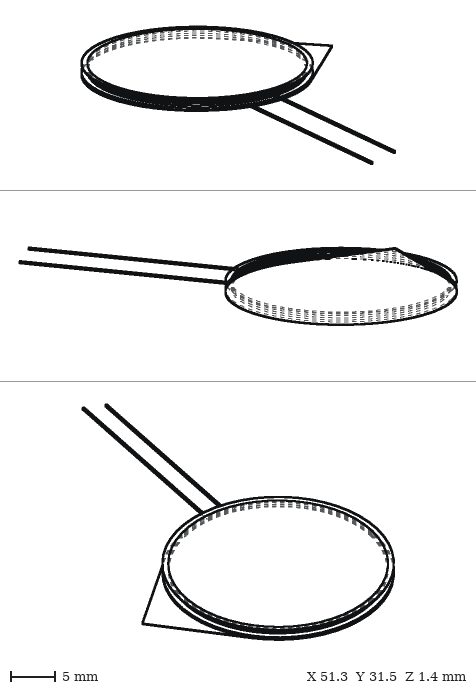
import cadquery as cq
import math

total_length = 51.3
total_width = 31.5
total_height = 1.4

base_diameter = 26.3
cover_diameter = 25.0
tape_thickness = 0.1
base_thickness = 0.25
film_thickness = 0.05

tab_tip_radius = 0.2

wire_diameter = 0.25
tip_diameter = 0.24
layer_count = 3
tip_length = 5.0
lead_offset = 1.55

base_radius = base_diameter / 2
winding_radius = cover_diameter / 2
wire_radius = wire_diameter / 2

tab_reach = total_width - base_radius
tab_half_angle = math.asin((base_radius - tab_tip_radius) / (tab_reach - tab_tip_radius))
tab_corner_reach = base_radius / math.sin(tab_half_angle)

lead_end = total_length - base_radius
tip_start = lead_end - tip_length

base_top = tape_thickness + base_thickness
winding_top = base_top + layer_count * wire_diameter
film_bottom = total_height - film_thickness
cover_thickness = film_bottom - winding_top

upper_lead_height = winding_top - wire_radius
lower_lead_height = base_top - wire_radius


def make_disc(diameter, bottom, thickness):
    return cq.Workplane("XY").workplane(offset=bottom).circle(diameter / 2).extrude(thickness)


def make_tape():
    """Round adhesive film with a pull tab whose straight sides are tangent to the disc."""
    tangent_x = base_radius * math.cos(tab_half_angle)
    tangent_y = base_radius * math.sin(tab_half_angle)
    tab = (
        cq.Workplane("XY")
        .moveTo(0, 0)
        .lineTo(tangent_x, tangent_y)
        .lineTo(0, tab_corner_reach)
        .lineTo(-tangent_x, tangent_y)
        .close()
        .extrude(tape_thickness)
        .edges("|Z and >Y")
        .fillet(tab_tip_radius)
    )
    return make_disc(base_diameter, 0, tape_thickness).union(tab).solids()


def make_winding():
    """Flat coil whose rim shows one round bulge for each layer of wire."""
    rim_root = winding_radius - wire_radius
    profile = cq.Workplane("XZ").moveTo(0, base_top).lineTo(rim_root, base_top)
    for layer in range(layer_count):
        layer_bottom = base_top + layer * wire_diameter
        profile = profile.threePointArc(
            (winding_radius, layer_bottom + wire_radius),
            (rim_root, layer_bottom + wire_diameter),
        )
    return profile.lineTo(0, winding_top).close().revolve(360, (0, 0, 0), (0, 1, 0))


def make_rod(diameter, start, end, y, z):
    return cq.Workplane("YZ", origin=(start, y, z)).circle(diameter / 2).extrude(end - start)


def make_lead(y, z, body):
    """Straight wire that starts on the curved rim of the given body."""
    inner_start = winding_radius - 2 * wire_diameter
    return make_rod(wire_diameter, inner_start, tip_start, y, z).cut(body).solids()


tape = make_tape()
base = make_disc(base_diameter, tape_thickness, base_thickness)
winding = make_winding()
cover = make_disc(cover_diameter, winding_top, cover_thickness)
film = make_disc(base_diameter, film_bottom, film_thickness)

leads = []
tips = []
for y, z, body in [
    (lead_offset, upper_lead_height, winding),
    (-lead_offset, lower_lead_height, base),
]:
    leads.append(make_lead(y, z, body).val())
    tips.append(make_rod(tip_diameter, tip_start, lead_end, y, z).val())

result = cq.Compound.makeCompound(
    [tape.val(), base.val(), winding.val(), cover.val(), film.val(), *leads, *tips]
)